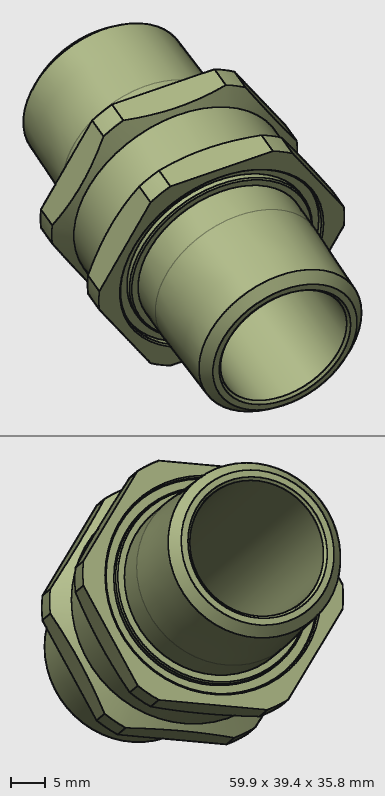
import cadquery as cq
import math

length = 59.9
half_length = length / 2

neck_radius = 13.4
thread_end_radius = 13.05
thread_start = 15.0
end_chamfer = 1.5

bore_radius = 10.1
bore_chamfer = 0.4

across_flats = 35.8
corner_radius = 19.7
body_radius = 16.95
collar_outer = 9.45
body_half_width = 4.2
bevel_angle = 30.0

groove_inner_radius = 14.7
groove_outer_radius = 16.1
groove_depth = 1.1
groove_lip = 0.25


def revolve_about_x(points):
    """Revolve a closed outline of (x, radius) points about the X axis."""
    outline = cq.Workplane("XY").polyline(points).close()
    return outline.revolve(360, (0, 0, 0), (1, 0, 0))


def make_pipe():
    """Round pipe with a taper and a chamfer at each end."""
    chamfer_start = half_length - end_chamfer
    right_side = [
        (thread_start, neck_radius),
        (chamfer_start, thread_end_radius),
        (half_length, thread_end_radius - end_chamfer),
        (half_length, 0),
    ]
    left_side = [(-x, radius) for x, radius in reversed(right_side)]
    return revolve_about_x(left_side + right_side)


def make_collars():
    """Two hexagonal collars, bevelled towards the round body joining them."""
    bevel_width = (corner_radius - body_radius) * math.tan(math.radians(bevel_angle))
    bevel_end = body_half_width + bevel_width
    right_side = [
        (body_half_width, body_radius),
        (bevel_end, corner_radius),
        (collar_outer, corner_radius),
        (collar_outer, 0),
    ]
    left_side = [(-x, radius) for x, radius in reversed(right_side)]
    turned = revolve_about_x(left_side + right_side)

    across_corners = across_flats / math.cos(math.radians(30))
    hexagon = (
        cq.Workplane("YZ")
        .polygon(6, across_corners)
        .extrude(collar_outer, both=True)
    )
    return turned.intersect(hexagon)


def make_face_groove(side):
    """Ring groove with chamfered rims; side is -1 or 1 along X."""
    face = side * collar_outer
    lip_end = side * (collar_outer - groove_lip)
    floor = side * (collar_outer - groove_depth)
    return revolve_about_x([
        (face, groove_inner_radius - groove_lip),
        (lip_end, groove_inner_radius),
        (floor, groove_inner_radius),
        (floor, groove_outer_radius),
        (lip_end, groove_outer_radius),
        (face, groove_outer_radius + groove_lip),
    ])


def make_bore():
    """Through bore with a chamfer at both mouths."""
    mouth_radius = bore_radius + bore_chamfer
    chamfer_start = half_length - bore_chamfer
    return revolve_about_x([
        (-half_length, 0),
        (-half_length, mouth_radius),
        (-chamfer_start, bore_radius),
        (chamfer_start, bore_radius),
        (half_length, mouth_radius),
        (half_length, 0),
    ])


result = make_pipe().union(make_collars())
for side in (-1, 1):
    result = result.cut(make_face_groove(side))
result = result.cut(make_bore())